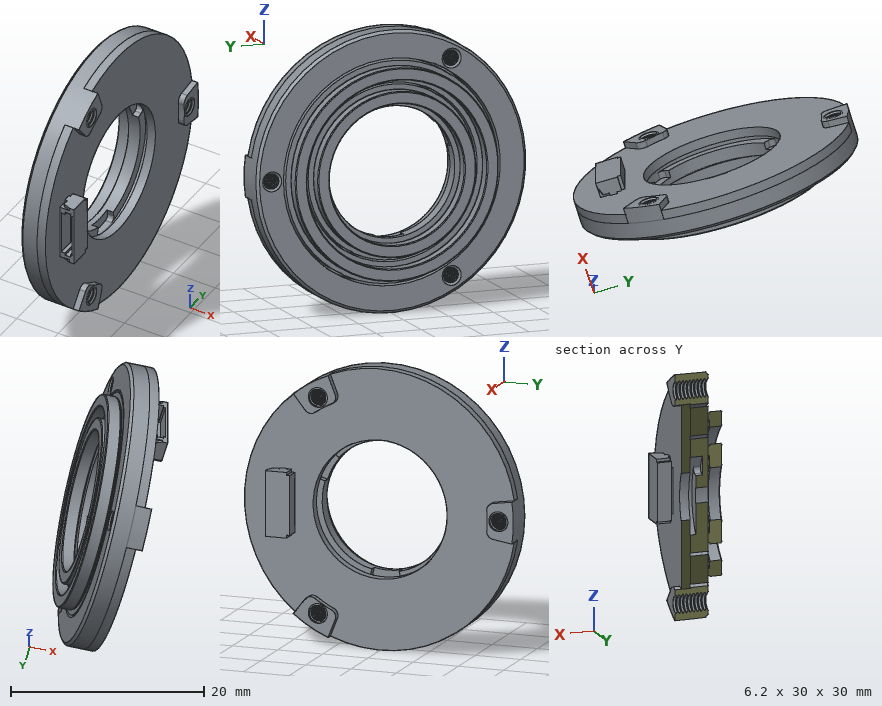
import cadquery as cq
import math


housing_front = 1.5
board_front = 3.5
board_thickness = 1.0
board_back = board_front + board_thickness
tab_back = 5.2
connector_top = 6.2

flange_diameter = 30.0
flange_chamfer = 0.3
housing_bore = 24.1

tab_angles = [0.0, 120.0, 240.0]
tab_half_angle = 8.55
tab_inner_radius = 12.1
tab_fillet = 0.8
screw_circle_radius = 13.3
thread_major_diameter = 2.1
thread_minor_diameter = 1.6
thread_pitch = 0.4
thread_crest = 0.1

inner_insulator_diameter = 18.6
inner_insulator_bore = 14.0
outer_insulator_diameter = 23.6
outer_insulator_bore = 19.0
counterbore_diameter = 16.2
counterbore_front = 2.9
notch_front = 2.15
notch_half_angle = 12.5
notch_fillet = 0.5
notch_angles = [30.0, 150.0, 270.0]

ring_bores = [15.0, 20.0]
ring_radial_width = 1.3
ring_chamfer = 0.1
ring_head_height = 1.4
neck_inner_step = 0.6

board_bore = 14.8

connector_length = 7.0
connector_rear = -9.35
connector_depth = 2.7
connector_mouth = connector_rear - connector_depth
wing_thickness = 0.3
wing_rear = -9.7
pocket_depth = 2.0
pocket_length = 5.0
pocket_bottom = 4.67
pocket_top = 5.95
key_length = 5.55
key_bottom = 5.12
key_top = 5.77
relief_height = 0.17
relief_front = -10.2
foot_rear = -9.4
foot_front = -9.86
wing_notch_rear = -11.03
wing_notch_height = 0.26
wing_slope_start = -11.67
wing_slope_height = 1.13


def tube(outer_diameter, inner_diameter, start, end):
    """Plain ring around the X axis between two stations."""
    outline = cq.Workplane("YZ").workplane(offset=start)
    return outline.circle(outer_diameter / 2).circle(inner_diameter / 2).extrude(end - start)


def polar(radius, angle):
    """Point in the YZ plane, with the angle measured from +Y towards +Z."""
    turn = math.radians(angle)
    return (radius * math.cos(turn), radius * math.sin(turn))


def sector(inner_radius, outer_radius, half_angle, start, end):
    """Ring sector centred on +Y, extruded along X."""
    return (
        cq.Workplane("YZ").workplane(offset=start)
        .moveTo(*polar(inner_radius, -half_angle))
        .lineTo(*polar(outer_radius, -half_angle))
        .threePointArc((outer_radius, 0), polar(outer_radius, half_angle))
        .lineTo(*polar(inner_radius, half_angle))
        .threePointArc((inner_radius, 0), polar(inner_radius, -half_angle))
        .close()
        .extrude(end - start)
    )


def turned(shape, angle):
    return shape.rotate((0, 0, 0), (1, 0, 0), angle)


def tab_block(start, end):
    """Tab on +Y, rounded at its two inner corners."""
    block = sector(tab_inner_radius, flange_diameter / 2, tab_half_angle, start, end)
    inner_corners = cq.selectors.BoxSelector(
        (start - 1, 0, -tab_inner_radius),
        (end + 1, tab_inner_radius + tab_fillet / 2, tab_inner_radius),
    )
    return block.edges("|X").edges(inner_corners).fillet(tab_fillet)


def threaded_hole():
    """Internal thread shaped as a row of V grooves, along X on the screw circle."""
    minor = thread_minor_diameter / 2
    major = thread_major_diameter / 2
    length = tab_back - housing_front
    groove_count = math.ceil(length / thread_pitch)
    outline = cq.Workplane("XY").moveTo(housing_front, 0).lineTo(housing_front, major)
    for groove in range(groove_count):
        start = housing_front + groove * thread_pitch
        outline = outline.lineTo(start + thread_pitch / 2 - thread_crest / 2, minor)
        outline = outline.lineTo(start + thread_pitch / 2 + thread_crest / 2, minor)
        outline = outline.lineTo(start + thread_pitch, major)
    outline = outline.lineTo(housing_front + groove_count * thread_pitch, 0).close()
    hole = outline.revolve(360, (0, 0, 0), (1, 0, 0))
    return hole.translate((0, screw_circle_radius, 0))


def make_housing():
    body = tube(flange_diameter, housing_bore, housing_front, board_front)
    body = body.faces("<X").edges(cq.selectors.RadiusNthSelector(-1)).chamfer(flange_chamfer)
    tab = tab_block(board_front, tab_back)
    for angle in tab_angles:
        body = body.union(turned(tab, angle))
    hole = threaded_hole()
    for angle in tab_angles:
        body = body.cut(turned(hole, angle))
    return body


def make_inner_insulator():
    """Insulator with a rear counterbore and three notches in the lip of its bore."""
    body = tube(inner_insulator_diameter, inner_insulator_bore, housing_front, board_front)
    counterbore = cq.Workplane("YZ").workplane(offset=counterbore_front)
    counterbore = counterbore.circle(counterbore_diameter / 2).extrude(board_front - counterbore_front)
    body = body.cut(counterbore)
    notch = sector(
        inner_insulator_bore / 4, counterbore_diameter / 2, notch_half_angle, notch_front, counterbore_front
    )
    outer_corners = cq.selectors.BoxSelector(
        (notch_front - 1, inner_insulator_bore / 2, -counterbore_diameter),
        (board_front, counterbore_diameter, counterbore_diameter),
    )
    notch = notch.edges("|X").edges(outer_corners).fillet(notch_fillet)
    for angle in notch_angles:
        body = body.cut(turned(notch, angle))
    return body


def make_outer_insulator():
    return tube(outer_insulator_diameter, outer_insulator_bore, housing_front, board_front)


def make_contact_ring(bore):
    """Chamfered ring head on a narrower neck that stands on the insulator."""
    head_diameter = bore + 2 * ring_radial_width
    head = tube(head_diameter, bore, 0, ring_head_height).edges().chamfer(ring_chamfer)
    neck = tube(
        head_diameter - 2 * ring_chamfer, bore + 2 * neck_inner_step, ring_head_height, housing_front
    )
    return head.union(neck)


def make_board():
    """Board with an edge notch around every tab."""
    body = tube(flange_diameter, board_bore, board_front, board_back)
    notch = tab_block(board_front, board_back)
    for angle in tab_angles:
        body = body.cut(turned(notch, angle))
    return body


def block(x_range, y_range, length):
    """Box between two X and two Y limits, centred on Z = 0."""
    width = x_range[1] - x_range[0]
    depth = abs(y_range[1] - y_range[0])
    centre = (sum(x_range) / 2, sum(y_range) / 2, 0)
    return cq.Workplane("XY").box(width, depth, length).translate(centre)


def make_connector():
    core_length = connector_length - 2 * wing_thickness
    body = block((board_back, connector_top), (connector_mouth, connector_rear), core_length)

    wing_outline = [
        (board_back, wing_rear),
        (connector_top, wing_rear),
        (connector_top, connector_mouth),
        (board_back + wing_slope_height, connector_mouth),
        (board_back + wing_notch_height, wing_slope_start),
        (board_back + wing_notch_height, wing_notch_rear),
        (board_back, wing_notch_rear),
    ]
    wings = cq.Workplane("XY").polyline(wing_outline).close().extrude(connector_length / 2, both=True)
    body = body.union(wings)

    pocket_y = (connector_mouth, connector_mouth + pocket_depth)
    body = body.cut(block((pocket_bottom, pocket_top), pocket_y, pocket_length))
    body = body.cut(block((key_bottom, key_top), pocket_y, key_length))

    relief_x = (board_back, board_back + relief_height)
    body = body.cut(block(relief_x, (relief_front, connector_rear), connector_length))
    return body.union(block(relief_x, (foot_front, foot_rear), pocket_length))


housing = make_housing()
inner_insulator = make_inner_insulator()
outer_insulator = make_outer_insulator()
contact_rings = [make_contact_ring(bore) for bore in ring_bores]
board = make_board()
connector = make_connector()

result = cq.Compound.makeCompound([
    housing.val(),
    inner_insulator.val(),
    outer_insulator.val(),
    *[ring.val() for ring in contact_rings],
    board.val(),
    connector.val(),
])